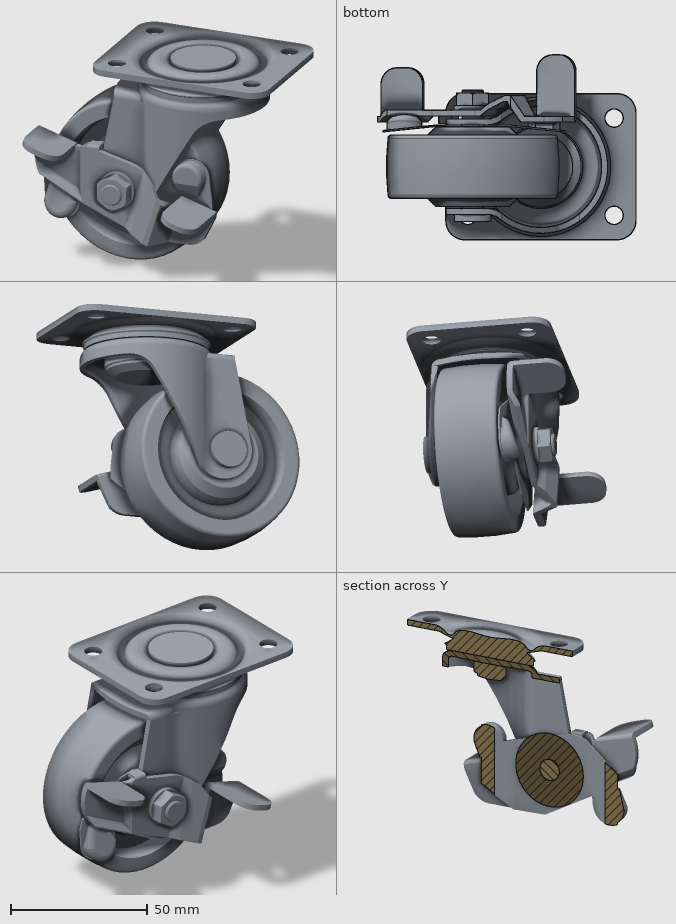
import cadquery as cq
import math


plate_length = 69.8
plate_width = 53.7
plate_thickness = 2.4
plate_corner_radius = 7.0
mount_hole_diameter = 6.6
mount_hole_spacing_x = 53.7
mount_hole_spacing_y = 35.7
dish_radius = plate_width / 2
dish_overlap = 0.1
dish_valley_radius = 22.0
dish_valley_depth = 2.8
pin_head_radius = 12.0
kingpin_radius = 8.5
seal_radius = 23.1
seal_lip_radius = 23.5
lower_cup_radius = 15.4
lower_cup_bottom = -18.9

sheet = 2.2
fork_top = -9.0
fork_radius = 24.5
fork_shoulder_radius = 3.3
arm_outer_y = 17.6
arm_inner_y = arm_outer_y - sheet
front_lip_top = -11.5
front_lip_x = -31.1
front_lip_corner_x = -28.2
front_lip_bottom = front_lip_top - sheet
skirt_bottom = -15.7
arm_bend_radius = 2.5
arm_inner_bend_radius = arm_bend_radius - sheet
arm_blend_radius = 7.2

axle_x = -25.1
axle_z = -48.2
wheel_radius = 31.7
wheel_half_width = 11.7
crown_drop = 0.6
tread_corner = 1.3
rim_radius = 25.0
web_radius = 23.5
web_half_width = 5.7
hub_base_radius = 18.1
hub_shoulder_radius = 16.7
hub_shoulder_half_width = 11.5
hub_radius = 13.5
hub_half_width = 14.6

bolt_radius = 4.0
bolt_head_radius = 6.7
bolt_head_height = 2.6
bolt_end_y = -28.1
bolt_chamfer = 0.4
nut_flange_radius = 6.9
nut_flange_height = 1.7
nut_end_y = -27.1
nut_corner_diameter = 13.5
nut_chamfer_radius = 6.0
nut_chamfer_angle = 30.0

lever_outer_y = -20.8
panel_outer_y = -18.5
crest_outer_y = -26.2
lever_tilt = 17.0
pedal_corner_radius = 6.2
pedal_bend_radius = 1.9
front_pedal_length = 15.9
front_pedal_tip_y = -36.3
front_pedal_corner = (-58.1, -29.1)
rear_pedal_length = 14.5
overall_width = 67.95
rear_pedal_tip_y = plate_width / 2 - overall_width
rear_pedal_corner = (-0.95, -48.3)

spring_outer_y = -15.3
spring_thickness = 0.6
spring_bend = 13.9
spring_reach = 34.2
spring_end_shift = 2.1
pad_root_y = -12.8
rear_pad_outer_y = -19.0

LARGE = 94.9


def extrude_y(sketch_outline, y_start, y_end):
    """Extrude an outline drawn in X and Z from y_start to y_end."""
    return sketch_outline.extrude(y_start - y_end).translate((0, y_start, 0))


def axle_cylinder(radius, y_start, y_end):
    """Cylinder about the wheel axis between two Y positions."""
    circle = cq.Workplane("XZ").center(axle_x, axle_z).circle(radius)
    return extrude_y(circle, y_start, y_end)


def make_swivel_plate():
    plate = (
        cq.Workplane("XY")
        .rect(plate_length, plate_width)
        .extrude(-plate_thickness)
        .edges("|Z")
        .fillet(plate_corner_radius)
        .faces(">Z")
        .workplane()
        .rarray(mount_hole_spacing_x, mount_hole_spacing_y, 2, 2)
        .hole(mount_hole_diameter)
    )
    dish_opening = cq.Workplane("XY").circle(dish_radius - dish_overlap).extrude(-plate_thickness)
    head = (
        cq.Workplane("XZ")
        .moveTo(0, 0)
        .lineTo(pin_head_radius, 0)
        .lineTo(pin_head_radius, -1.8)
        .threePointArc((13.6, -0.8), (16.0, 0))
        .lineTo(17.3, 0)
        .threePointArc((19.4, -0.7), (20.8, -2.4))
        .threePointArc((dish_valley_radius, -dish_valley_depth), (23.4, -1.8))
        .threePointArc((25.2, -0.5), (dish_radius, 0))
        .lineTo(dish_radius, -plate_thickness)
        .lineTo(25.6, -plate_thickness)
        .lineTo(20.9, -4.2)
        .lineTo(22.7, -5.9)
        .lineTo(seal_lip_radius, -6.4)
        .lineTo(seal_lip_radius, -6.7)
        .lineTo(seal_radius, -7.2)
        .lineTo(seal_radius, fork_top)
        .lineTo(kingpin_radius, fork_top)
        .lineTo(kingpin_radius, fork_top - sheet)
        .lineTo(lower_cup_radius, fork_top - sheet)
        .lineTo(lower_cup_radius, -15.5)
        .lineTo(14.8, -15.9)
        .lineTo(14.8, -16.7)
        .lineTo(11.7, lower_cup_bottom)
        .lineTo(0, lower_cup_bottom)
        .close()
        .revolve(360, (0, 0), (0, 1))
    )
    return plate.cut(dish_opening).union(head)


def arm_blend(radius, half_width, blend_radius, top):
    """Fillet columns, solid to the middle plane, between the flat sides and the round cup."""
    centre_y = half_width + blend_radius
    centre_distance = radius + blend_radius
    centre_x = -math.sqrt(centre_distance**2 - centre_y**2)
    cup_x = centre_x * radius / centre_distance
    cup_y = centre_y * radius / centre_distance
    mid_angle = (math.atan2(cup_y - centre_y, cup_x - centre_x) - math.pi / 2) / 2
    mid_x = centre_x + blend_radius * math.cos(mid_angle)
    mid_y = centre_y + blend_radius * math.sin(mid_angle)
    column = (
        cq.Workplane("XY")
        .workplane(offset=top)
        .moveTo(centre_x, half_width)
        .threePointArc((mid_x, mid_y), (cup_x, cup_y))
        .lineTo(cup_x, 0)
        .lineTo(centre_x, 0)
        .close()
        .extrude(-LARGE)
    )
    return column.union(column.mirror("XZ"))


def fork_block(radius, half_width, cup_top, channel_top, shoulder_radius, bend_radius, blend_radius):
    """Round cup joined to a straight channel that runs forward over the wheel."""
    cup = cq.Workplane("XY").workplane(offset=cup_top).circle(radius).extrude(-LARGE)
    cup = cup.faces(">Z").edges().fillet(shoulder_radius)
    channel = (
        cq.Workplane("XY")
        .workplane(offset=channel_top)
        .center(-radius, 0)
        .rect(2 * radius, 2 * half_width)
        .extrude(-LARGE)
        .edges("|X and >Z")
        .fillet(bend_radius)
    )
    blend = arm_blend(radius, half_width, blend_radius, channel_top - bend_radius)
    return cup.union(channel).union(blend)


def make_fork():
    outer = fork_block(
        fork_radius,
        arm_outer_y,
        fork_top,
        front_lip_top,
        fork_shoulder_radius,
        arm_bend_radius,
        arm_blend_radius,
    )
    inner = fork_block(
        fork_radius - sheet,
        arm_inner_y,
        fork_top - sheet,
        front_lip_bottom,
        fork_shoulder_radius - sheet,
        arm_inner_bend_radius,
        arm_blend_radius + sheet,
    )
    side_outline = (
        cq.Workplane("XZ")
        .moveTo(front_lip_x, fork_top)
        .lineTo(front_lip_x, front_lip_bottom)
        .lineTo(front_lip_corner_x, front_lip_bottom)
        .lineTo(-34.7, -46.4)
        .threePointArc((-25.6, -58.8), (-14.4, -55.2))
        .lineTo(5.9, -21.1)
        .threePointArc((9.3, -17.5), (14.2, skirt_bottom))
        .lineTo(fork_radius, skirt_bottom)
        .lineTo(fork_radius, fork_top)
        .close()
    )
    side_prism = extrude_y(side_outline, LARGE / 2, -LARGE / 2)
    lip_cutter = (
        cq.Workplane("XY")
        .moveTo(front_lip_corner_x, arm_outer_y)
        .threePointArc((front_lip_x, 0), (front_lip_corner_x, -arm_outer_y))
        .lineTo(-LARGE, -arm_outer_y)
        .lineTo(-LARGE, arm_outer_y)
        .close()
        .extrude(front_lip_bottom)
    )
    kingpin_hole = cq.Workplane("XY").circle(kingpin_radius).extrude(-LARGE)
    fork = outer.cut(inner).intersect(side_prism).cut(lip_cutter).cut(kingpin_hole)
    bolt_head_seat = axle_cylinder(bolt_head_radius, LARGE, arm_outer_y)
    return fork.cut(axle_cylinder(bolt_radius, LARGE, -LARGE)).cut(bolt_head_seat)


def make_wheel():
    half_profile = [
        (wheel_radius - crown_drop - tread_corner, wheel_half_width),
        (rim_radius, wheel_half_width),
        (web_radius, web_half_width),
        (hub_base_radius, web_half_width),
        (hub_shoulder_radius, hub_shoulder_half_width),
        (hub_radius, hub_half_width),
        (bolt_radius, hub_half_width),
    ]
    mirrored = [(r, -y) for r, y in reversed(half_profile)]
    tread_edge = wheel_half_width - tread_corner
    tread_edge_radius = wheel_radius - crown_drop
    corner_mid = tread_corner * math.sqrt(0.5)
    corner_r = tread_edge_radius - tread_corner + corner_mid
    corner_y = tread_edge + corner_mid
    profile = (
        cq.Workplane("XY")
        .polyline(half_profile + mirrored)
        .threePointArc((corner_r, -corner_y), (tread_edge_radius, -tread_edge))
        .threePointArc((wheel_radius, 0), (tread_edge_radius, tread_edge))
        .threePointArc((corner_r, corner_y), half_profile[0])
        .close()
    )
    return profile.revolve(360, (0, 0), (0, 1)).translate((axle_x, 0, axle_z))


def make_bolt():
    shank = axle_cylinder(bolt_radius, arm_outer_y, bolt_end_y).faces("<Y").chamfer(bolt_chamfer)
    head = axle_cylinder(bolt_head_radius, arm_outer_y + bolt_head_height, arm_outer_y)
    return shank.union(head)


def make_nut():
    flange = axle_cylinder(nut_flange_radius, lever_outer_y, lever_outer_y - nut_flange_height)
    hexagon = (
        cq.Workplane("XZ")
        .polygon(6, nut_corner_diameter)
        .extrude(lever_outer_y - nut_end_y)
        .rotate((0, 0, 0), (0, 1, 0), 30)
        .translate((axle_x, lever_outer_y, axle_z))
    )
    cone_reach = nut_flange_radius - nut_chamfer_radius
    cone_height = cone_reach * math.tan(math.radians(nut_chamfer_angle))
    rounding = axle_cylinder(nut_flange_radius, lever_outer_y, nut_end_y)
    rounding = rounding.faces("<Y").chamfer(cone_height, cone_reach)
    nut = flange.union(hexagon.intersect(rounding))
    return nut.cut(axle_cylinder(bolt_radius, LARGE, -LARGE))


def make_pedal(length, tip_y, corner):
    """Tilted pedal plate; corner is the X, Z place of its upper front edge."""
    root_y = panel_outer_y + sheet
    plate = (
        cq.Workplane("XY")
        .moveTo(0, root_y)
        .lineTo(length, root_y)
        .lineTo(length, tip_y)
        .lineTo(0, tip_y)
        .close()
        .extrude(-sheet)
        .edges("|Z and <Y")
        .fillet(pedal_corner_radius)
        .edges(">Y and >Z")
        .fillet(pedal_bend_radius)
    )
    x, z = corner
    return plate.rotate((0, 0, 0), (0, 1, 0), lever_tilt).translate((x, 0, z))


def recess_frustum(y_floor):
    """Solid whose floor at y_floor spreads out to the lever face level, a step lower in Y."""
    step = panel_outer_y - lever_outer_y
    floor = [(-66.4, -19.0), (-41.7, -19.0), (-41.7, -51.2), (-66.4, -38.6)]
    mouth = [(-66.4, -19.0), (-39.5, -19.0), (-39.5, -55.3), (-66.4, -41.6)]
    return (
        cq.Workplane("XZ", origin=(0, y_floor, 0))
        .polyline(floor)
        .close()
        .workplane(offset=step)
        .polyline(mouth)
        .close()
        .loft(ruled=True)
    )


def lever_sheet():
    """Bent strip: flat at the axle, sloping out to a crest and stepping back in at the rear."""
    front_u = -42.7
    rear_u = 47.45
    slope_start_u = nut_flange_radius
    slope_middle_u = 10.1
    slope_middle_y = -23.2
    crest_start_u = 16.6
    crest_end_u = 18.7
    return_end_u = 23.7
    return_shift = 1.4
    bend_radius = 0.5
    outer = [
        (front_u, lever_outer_y),
        (slope_start_u, lever_outer_y),
        (slope_middle_u, slope_middle_y),
        (crest_start_u, crest_outer_y),
        (crest_end_u, crest_outer_y),
        (return_end_u, panel_outer_y),
        (rear_u, panel_outer_y),
    ]
    inner = [
        (rear_u, panel_outer_y + sheet),
        (return_end_u - return_shift, panel_outer_y + sheet),
        (crest_end_u - return_shift, crest_outer_y + sheet),
        (crest_start_u - 0.4, crest_outer_y + sheet),
        (slope_middle_u, slope_middle_y + sheet),
        (slope_start_u, lever_outer_y + sheet),
        (front_u, lever_outer_y + sheet),
    ]
    strip = cq.Workplane("XY").polyline(outer + inner).close().extrude(LARGE / 2, both=True)
    rear_bends = cq.selectors.BoxSelector(
        (crest_start_u - 2 * bend_radius, crest_outer_y - sheet, -0.95),
        (return_end_u + bend_radius, 0, 0.95),
    )
    strip = strip.edges("|Z").edges(rear_bends).fillet(bend_radius)
    return strip.rotate((0, 0, 0), (0, 1, 0), lever_tilt).translate((axle_x, 0, axle_z))


def lever_outline():
    return (
        cq.Workplane("XZ")
        .moveTo(-58.6, -30.75)
        .threePointArc((-60.0, -38.0), (-56.5, -47.1))
        .lineTo(-40.05, -55.6)
        .lineTo(-24.2, -62.3)
        .lineTo(-11.2, -66.9)
        .lineTo(1.1, -66.9)
        .threePointArc((5.2, -66.1), (7.9, -64.15))
        .lineTo(12.2, -55.3)
        .lineTo(12.3, -53.6)
        .lineTo(-0.9, -49.5)
        .lineTo(-2.2, -54.1)
        .lineTo(-7.6, -48.0)
        .lineTo(-10.0, -44.0)
        .threePointArc((-15.4, -39.9), (-22.7, -37.3))
        .lineTo(-33.3, -34.6)
        .lineTo(-38.15, -33.4)
        .lineTo(-41.7, -35.0)
        .close()
    )


def make_tab():
    """Small tab bent inward over the upper edge, just ahead of the fork arm."""
    width = 4.7
    reach = 4.9
    height = 1.9
    bend_radius = 1.1
    tab = cq.Workplane("XY").box(width, reach, height, centered=False)
    tab = tab.edges("|X and >Z and <Y").fillet(bend_radius)
    return tab.translate((-37.6, lever_outer_y, -34.6))


def make_lever():
    strip = lever_sheet()
    strip = strip.union(recess_frustum(panel_outer_y + sheet)).cut(recess_frustum(panel_outer_y))
    lever = strip.intersect(extrude_y(lever_outline(), 0, -LARGE))
    lever = lever.union(make_pedal(front_pedal_length, front_pedal_tip_y, front_pedal_corner))
    lever = lever.union(make_pedal(rear_pedal_length, rear_pedal_tip_y, rear_pedal_corner))
    lever = lever.union(make_tab())
    return lever.cut(axle_cylinder(bolt_radius, LARGE, -LARGE))


def spring_path(y_shift):
    """Points of a face of the strip, flat past the hub and bent toward the wheel at both ends."""
    y = spring_outer_y + y_shift
    return [
        (axle_x - spring_reach, y + spring_end_shift),
        (axle_x - spring_bend, y),
        (axle_x + spring_bend, y),
        (axle_x + spring_reach, y + spring_end_shift),
    ]


def wheel_side_space():
    """Everything between the middle of the wheel and the inner face of the spring."""
    ends = [(axle_x + spring_reach, 0), (axle_x - spring_reach, 0)]
    outline = cq.Workplane("XY").polyline(spring_path(spring_thickness) + ends).close()
    return outline.extrude(-LARGE)


def make_spring():
    outer_face = spring_path(0)
    inner_face = spring_path(spring_thickness)
    strip = cq.Workplane("XY").polyline(outer_face + inner_face[::-1]).close().extrude(-LARGE)
    outline = (
        cq.Workplane("XZ")
        .moveTo(-56.8, -47.2)
        .lineTo(-57.9, -51.2)
        .lineTo(-57.4, -58.8)
        .threePointArc((-50.5, -65.3), (-43.1, -58.8))
        .lineTo(-42.7, -55.5)
        .lineTo(-22.8, -66.4)
        .lineTo(-9.5, -66.7)
        .lineTo(9.0, -55.0)
        .lineTo(9.0, -50.8)
        .lineTo(7.9, -40.8)
        .threePointArc((1.1, -35.1), (-5.3, -40.8))
        .lineTo(-34.2, -32.9)
        .lineTo(-39.9, -34.2)
        .close()
    )
    spring = strip.intersect(extrude_y(outline, 0, -LARGE))
    pads = front_pad().union(rear_pad()).cut(wheel_side_space())
    spring = spring.union(pads)
    return spring.cut(axle_cylinder(bolt_radius, LARGE, -LARGE))


def front_pad():
    """Teardrop boss below the front panel; its face leans outward toward the bottom."""
    lean = 16.0
    outline = (
        cq.Workplane("XZ")
        .moveTo(-54.6, -50.3)
        .lineTo(-56.6, -58.3)
        .threePointArc((-50.1, -64.7), (-43.7, -58.3))
        .lineTo(-47.45, -50.3)
        .close()
    )
    boss = extrude_y(outline, pad_root_y, -23.7)
    keep = (
        cq.Workplane("XY")
        .box(LARGE, LARGE, LARGE, centered=(True, False, True))
        .rotate((0, 0, 0), (1, 0, 0), -lean)
        .translate((axle_x, -15.8, -50.3))
    )
    return boss.intersect(keep).faces("<Y").edges().fillet(2.3)


def rear_pad():
    """Teardrop boss above the rear pedal."""
    outline = (
        cq.Workplane("XZ")
        .moveTo(-2.0, -48.4)
        .lineTo(-4.6, -42.7)
        .threePointArc((1.1, -35.5), (6.8, -42.7))
        .lineTo(4.5, -48.4)
        .close()
    )
    boss = extrude_y(outline, pad_root_y, rear_pad_outer_y)
    side_profile = (
        cq.Workplane("YZ")
        .moveTo(0, -34.2)
        .lineTo(rear_pad_outer_y, -34.2)
        .lineTo(rear_pad_outer_y, -43.3)
        .lineTo(spring_outer_y, -49.35)
        .lineTo(0, -49.35)
        .close()
        .extrude(LARGE / 2, both=True)
    )
    return boss.faces("<Y").edges().fillet(1.4).intersect(side_profile)


swivel_plate = make_swivel_plate()
fork = make_fork()
wheel = make_wheel()
bolt = make_bolt()
nut = make_nut()
lever = make_lever().cut(fork)
spring = make_spring()

result = cq.Compound.makeCompound(
    [body.solids().val() for body in (swivel_plate, fork, wheel, bolt, nut, lever, spring)]
)